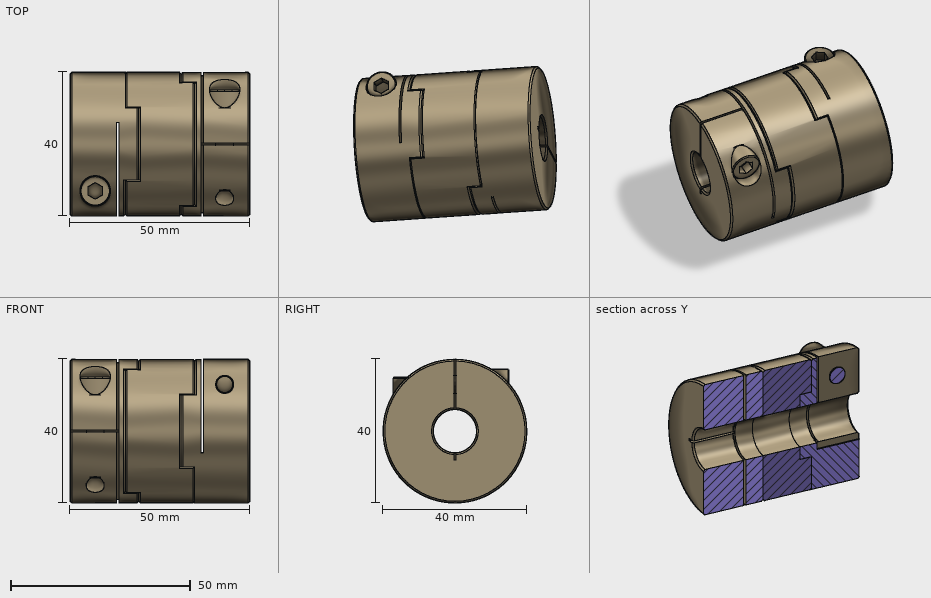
import cadquery as cq
import math


coupling_length = 50.0
outer_radius = 20.0
bore_radius = 6.0
end_chamfer = 0.5

shoulder_position = 9.6
key_end_position = 5.9
key_half_width = 10.0
hub_edge_chamfer = 0.5
disc_edge_chamfer = 0.4
groove_floor_chamfer = 0.5

slit_width = 0.6
cross_slit_position = 11.75
cross_slit_end = 6.0
radial_slit_end = 8.0

screw_position = 18.0
screw_offset = 13.0
head_radius = 4.25
head_height = 5.0
head_top = 15.0
head_chamfer = 0.3
shank_radius = 2.5
shank_tip = -13.0
tip_chamfer = 0.25
hex_across_flats = 4.0
hex_depth = 3.0

head_seat = head_top - head_height
end_position = coupling_length / 2
far = 2 * outer_radius


def box(x_range, y_range, z_range):
    """Box between the given limits."""
    limits = (x_range, y_range, z_range)
    sizes = [high - low for low, high in limits]
    corner = cq.Vector(*[low for low, high in limits])
    return cq.Workplane(obj=cq.Solid.makeBox(*sizes, corner))


def cylinder_x(radius, start, end):
    """Cylinder on the coupling axis from start to end."""
    return cq.Workplane("YZ").workplane(offset=start).circle(radius).extrude(end - start)


def cylinder_screw(radius, bottom, top):
    """Cylinder on the axis of the left screw, from bottom to top."""
    plane = cq.Workplane("XY", origin=(-screw_position, -screw_offset, bottom))
    return plane.circle(radius).extrude(top - bottom)


def to_right_side(body):
    """Mirror a left-hand body and give it a quarter turn, which makes its right-hand twin."""
    return body.mirror("YZ").rotate((0, 0, 0), (1, 0, 0), -90)


def rim_cutter(face, size, direction):
    """Ring that cuts a chamfer on the outer rim of a face; direction (+1 or -1) points into the material."""
    profile = [
        (face, outer_radius - size),
        (face, outer_radius + size),
        (face + direction * size, outer_radius + size),
        (face + direction * size, outer_radius),
    ]
    return cq.Workplane("XY").polyline(profile).close().revolve(360, (0, 0, 0), (1, 0, 0))


def make_hub():
    """Left hub: clamp ring with its key, open to -Y."""
    body = cylinder_x(outer_radius, -end_position, -shoulder_position)
    body = body.faces("<X").chamfer(end_chamfer)
    key = cylinder_x(outer_radius, -shoulder_position, -key_end_position)
    key = key.faces(">X").chamfer(hub_edge_chamfer)
    body = body.union(key.intersect(box((-far, far), (-key_half_width, key_half_width), (-far, far))))

    slit_side = box((-far, 0), (-far, -key_half_width), (-far, far))
    body = body.cut(rim_cutter(-shoulder_position, hub_edge_chamfer, -1).intersect(slit_side))

    body = body.cut(cylinder_x(bore_radius, -end_position, 0))
    body = body.faces("<X").edges(cq.selectors.RadiusNthSelector(0)).chamfer(end_chamfer)

    half_slit = slit_width / 2
    cross_slit = (-cross_slit_position - half_slit, -cross_slit_position + half_slit)
    body = body.cut(box((-far, cross_slit[1]), (-far, radial_slit_end), (-half_slit, half_slit)))
    body = body.cut(box(cross_slit, (-far, cross_slit_end), (-far, far)))

    body = body.cut(cylinder_screw(head_radius, head_seat, far))
    return body.cut(cylinder_screw(shank_radius, -far, far))


def make_screw():
    """Left clamp screw: socket head on top, tip below."""
    head = cylinder_screw(head_radius, head_seat, head_top).faces(">Z").chamfer(head_chamfer)
    shank = cylinder_screw(shank_radius, shank_tip, head_seat).faces("<Z").chamfer(tip_chamfer)
    socket = (
        cq.Workplane("XY", origin=(-screw_position, -screw_offset, head_top))
        .transformed(rotate=(0, 0, 90))
        .polygon(6, hex_across_flats / math.cos(math.pi / 6))
        .extrude(-hex_depth)
    )
    return head.union(shank).cut(socket)


def make_groove_cutter():
    """Groove for the left hub key, with its chamfered edges."""
    groove_range = (-key_half_width, key_half_width)
    cutter = box((-far, -key_end_position), groove_range, (-far, far))

    floor_rim = rim_cutter(-key_end_position, groove_floor_chamfer, 1)
    cutter = cutter.union(floor_rim.intersect(box((-far, far), groove_range, (-far, far))))

    rim_height = math.sqrt(outer_radius**2 - key_half_width**2)
    chamfer_angle = math.asin(key_half_width / outer_radius) + disc_edge_chamfer / outer_radius
    outer_y = outer_radius * math.sin(chamfer_angle)
    outer_z = outer_radius * math.cos(chamfer_angle)
    edge_profile = [
        (key_half_width, rim_height - disc_edge_chamfer),
        (outer_y, outer_z),
        (outer_y, rim_height),
        (key_half_width, rim_height),
    ]
    floor_end = -key_end_position + groove_floor_chamfer
    edge = cq.Workplane("YZ").workplane(offset=-end_position).polyline(edge_profile).close()
    edge = edge.extrude(floor_end + end_position)
    edge_pair = edge.union(edge.mirror("XZ"))
    return cutter.union(edge_pair).union(edge_pair.mirror("XY"))


def make_disc():
    """Middle disc with a groove in each end, the two at right angles."""
    body = cylinder_x(outer_radius, -shoulder_position, shoulder_position)
    body = body.faces("<X or >X").chamfer(disc_edge_chamfer)
    groove = make_groove_cutter()
    body = body.cut(groove).cut(to_right_side(groove))
    return body.cut(cylinder_x(bore_radius, -far, far))


left_hub = make_hub()
right_hub = to_right_side(left_hub)
left_screw = make_screw()
right_screw = to_right_side(left_screw)
disc = make_disc()

result = cq.Compound.makeCompound(
    [left_hub.val(), right_hub.val(), disc.val(), left_screw.val(), right_screw.val()]
)